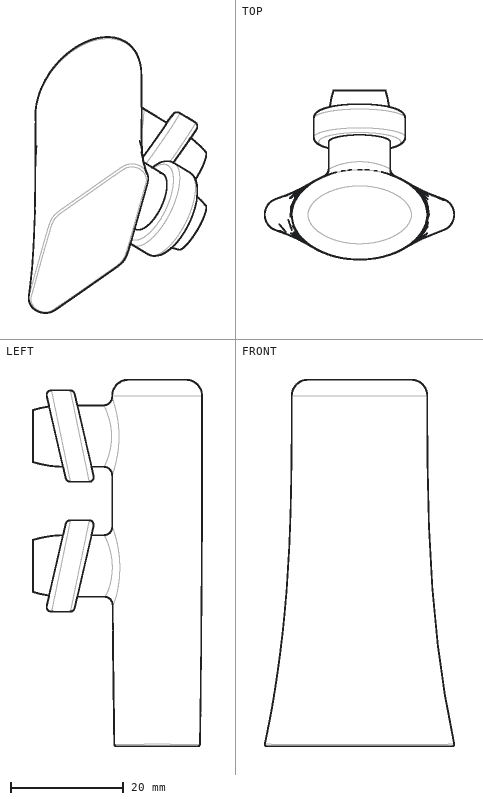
import cadquery as cq
import math

HEIGHT = 65.0
TOTAL_DEPTH = 30.0
TOP_HALF_WIDTH = 12.0
TOP_HALF_DEPTH = 8.0
FOOT_HALF_WIDTH = 16.9
FOOT_HALF_DEPTH = 7.6
TOP_ROUND = 2.85
FOOT_ROUND = 0.4
SHOULDER_Z = HEIGHT - TOP_ROUND

FLANK_ANGLE = math.radians(19.0)
CORNER_RADIUS = 5.2

FLARE_POWER = 2.8

SECTION_SPANS = 6
OUTLINE_POINTS = 48

PEG_HEIGHTS_AND_LEANS = [(55.0, 1), (32.0, -1)]
PEG_RADIUS = 5.45
PEG_END_Y = TOTAL_DEPTH - TOP_HALF_DEPTH
PEG_END_RADIUS = 4.6
PEG_NOSE_LENGTH = 5.5
PEG_ROOT_ROUND = 1.4
COLLAR_RADIUS = 8.1
COLLAR_Y = 15.4
COLLAR_LENGTH = 5.1
COLLAR_TILT = math.radians(13.0)
COLLAR_ROUND = 0.85


def diamond_half_depth(x):
    """Half depth of the rounded diamond foot at a distance x from its middle."""
    sine, cosine, slope = math.sin(FLANK_ANGLE), math.cos(FLANK_ANGLE), math.tan(FLANK_ANGLE)
    corner_center = FOOT_HALF_DEPTH - CORNER_RADIUS
    sharp_depth = corner_center + CORNER_RADIUS / cosine
    tip_radius = (sharp_depth * cosine - FOOT_HALF_WIDTH * sine) / (1 - sine)
    tip_center = FOOT_HALF_WIDTH - tip_radius
    if x < CORNER_RADIUS * sine:
        return corner_center + math.sqrt(CORNER_RADIUS**2 - x**2)
    if x < tip_center + tip_radius * sine:
        return sharp_depth - slope * x
    return math.sqrt(max(0.0, tip_radius**2 - (x - tip_center) ** 2))


def section_wire(z):
    """Closed outline at height z, blended from the diamond foot to the elliptical shoulder."""
    flare = max(0.0, 1 - z / SHOULDER_Z) ** FLARE_POWER
    half_width = TOP_HALF_WIDTH + flare * (FOOT_HALF_WIDTH - TOP_HALF_WIDTH)
    points = []
    for i in range(OUTLINE_POINTS):
        angle = 2 * math.pi * i / OUTLINE_POINTS
        across, along = math.cos(angle), math.sin(angle)
        diamond = math.copysign(diamond_half_depth(abs(across) * FOOT_HALF_WIDTH), along)
        depth = flare * diamond + (1 - flare) * TOP_HALF_DEPTH * along
        points.append(cq.Vector(half_width * across, depth, z))
    knots = [i / OUTLINE_POINTS for i in range(OUTLINE_POINTS + 1)]
    return cq.Wire.assembleEdges([cq.Edge.makeSpline(points, periodic=True, parameters=knots)])


def make_body():
    """Flared body lofted through the outlines, straight above the shoulder."""
    levels = [SHOULDER_Z * i / SECTION_SPANS for i in range(SECTION_SPANS + 1)] + [HEIGHT]
    return cq.Workplane(cq.Solid.makeLoft([section_wire(z) for z in levels]))


def make_peg(z):
    """Round peg whose nose curves smoothly inward, starting at the middle of the body."""
    nose_y = PEG_END_Y - PEG_NOSE_LENGTH
    return (
        cq.Workplane("XY", origin=(0, 0, z))
        .lineTo(PEG_RADIUS, 0)
        .lineTo(PEG_RADIUS, nose_y)
        .tangentArcPoint((PEG_END_RADIUS, PEG_END_Y), relative=False)
        .lineTo(0, PEG_END_Y)
        .close()
        .revolve(360, (0, 0, 0), (0, 1, 0))
    )


def make_collar(z, lean_direction):
    """Round collar along Y whose two parallel end faces lean by the collar tilt."""
    lean = lean_direction * COLLAR_RADIUS * math.tan(COLLAR_TILT)
    half = COLLAR_LENGTH / 2
    r = COLLAR_RADIUS
    slab = (
        cq.Workplane("YZ", origin=(0, COLLAR_Y, z))
        .polyline([(-half - lean, -r), (half - lean, -r), (half + lean, r), (-half + lean, r)])
        .close()
        .extrude(r, both=True)
    )
    rod = cq.Workplane("XZ", origin=(0, COLLAR_Y, z)).circle(r).extrude(2 * r, both=True)
    return rod.intersect(slab).edges().fillet(COLLAR_ROUND)


def round_peg_roots(part):
    """Fillet the edges where the pegs leave the back of the body."""
    reach = PEG_RADIUS + PEG_ROOT_ROUND
    low_corner = (-reach, TOP_HALF_DEPTH / 2, 0)
    high_corner = (reach, TOP_HALF_DEPTH + PEG_ROOT_ROUND, SHOULDER_Z)
    back_zone = cq.selectors.BoxSelector(low_corner, high_corner)
    return part.edges(back_zone).fillet(PEG_ROOT_ROUND)


result = make_body()
for peg_z, _ in PEG_HEIGHTS_AND_LEANS:
    result = result.union(make_peg(peg_z))
result = round_peg_roots(result)
for peg_z, lean_direction in PEG_HEIGHTS_AND_LEANS:
    result = result.union(make_collar(peg_z, lean_direction))

result = result.faces(">Z").edges().fillet(TOP_ROUND)
result = result.faces("<Z").edges().fillet(FOOT_ROUND)